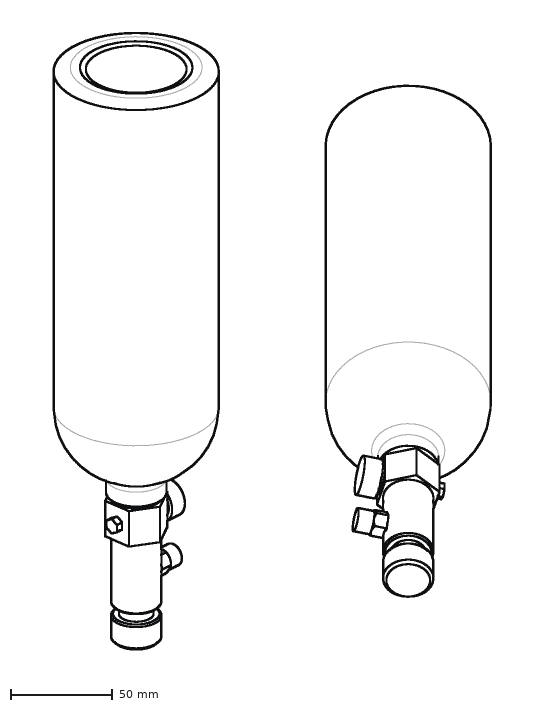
import cadquery as cq
import math

TOTAL_HEIGHT = 320.0
HEX_TOP = 80.0
HEX_HEIGHT = 20.0
HEX_BOTTOM = HEX_TOP - HEX_HEIGHT
HEX_MIDDLE = HEX_TOP - HEX_HEIGHT / 2

BOTTLE_RADIUS = 41.0
DOME_START = 130.0
DOME_ARC_RADIUS = 38.0
CROWN_RADIUS = 32.5
CROWN_DROP = 2.2
RECESS_TOP_RADIUS = 28.0
RECESS_FLOOR_RADIUS = 25.0
RECESS_DEPTH = 1.0
NECK_RADIUS = 15.0
NECK_FILLET = 5.0
NECK_CHAMFER = 2.2

HEX_ACROSS_FLATS = 28.0
STEM_RADIUS = 12.5
GROOVE_RADIUS = 8.5
GROOVE_BOTTOM = 14.5
GROOVE_TOP = 20.0
GROOVE_EDGE_CHAMFER = 1.0
COLLAR_END_CHAMFER = 1.5

GAUGE_RADIUS = 10.0
GAUGE_NECK_RADIUS = 7.7
GAUGE_NECK_LENGTH = 1.5
GAUGE_DISC_LENGTH = 9.3

PIN_ACROSS_FLATS = 7.0
PIN_LENGTH = 4.0

NUT_LEVEL = 37.0
NUT_ACROSS_FLATS = 12.0
NUT_INNER_FACE = 12.0
NUT_OUTER_FACE = 19.0
NUT_CHAMFER_HEIGHT = 1.0
CAP_LENGTH = 8.0


def across_corners(across_flats):
    return across_flats / math.cos(math.pi / 6)


def plane_facing_back(y, z):
    """Work plane at (0, y, z) whose normal points along +Y."""
    return cq.Plane(origin=(0, y, z), xDir=(1, 0, 0), normal=(0, 1, 0))


def nut_prism(start, end):
    """Hexagonal prism along Y with corners on its X sides, from one Y position to another."""
    return (
        cq.Workplane(plane_facing_back(start, NUT_LEVEL))
        .polygon(6, across_corners(NUT_ACROSS_FLATS))
        .extrude(end - start)
    )


def make_bottle():
    dome_centre_radius = BOTTLE_RADIUS - DOME_ARC_RADIUS
    centre_distance = DOME_ARC_RADIUS + NECK_FILLET
    touch_angle = math.acos((NECK_RADIUS + NECK_FILLET - dome_centre_radius) / centre_distance)
    fillet_level = DOME_START - centre_distance * math.sin(touch_angle)

    def dome_point(angle):
        return (
            dome_centre_radius + DOME_ARC_RADIUS * math.cos(angle),
            DOME_START - DOME_ARC_RADIUS * math.sin(angle),
        )

    crown_width = BOTTLE_RADIUS - CROWN_RADIUS
    crown_arc_radius = (crown_width**2 + CROWN_DROP**2) / (2 * CROWN_DROP)
    crown_half_angle = math.asin(crown_width / crown_arc_radius) / 2
    crown_middle = (
        CROWN_RADIUS + crown_arc_radius * math.sin(crown_half_angle),
        TOTAL_HEIGHT - crown_arc_radius * (1 - math.cos(crown_half_angle)),
    )

    return (
        cq.Workplane("XZ")
        .moveTo(0, HEX_TOP)
        .lineTo(NECK_RADIUS - NECK_CHAMFER, HEX_TOP)
        .lineTo(NECK_RADIUS, HEX_TOP + NECK_CHAMFER)
        .lineTo(NECK_RADIUS, fillet_level)
        .tangentArcPoint(dome_point(touch_angle), relative=False)
        .threePointArc(dome_point(touch_angle / 2), (BOTTLE_RADIUS, DOME_START))
        .lineTo(BOTTLE_RADIUS, TOTAL_HEIGHT - CROWN_DROP)
        .threePointArc(crown_middle, (CROWN_RADIUS, TOTAL_HEIGHT))
        .lineTo(RECESS_TOP_RADIUS, TOTAL_HEIGHT)
        .lineTo(RECESS_FLOOR_RADIUS, TOTAL_HEIGHT - RECESS_DEPTH)
        .lineTo(0, TOTAL_HEIGHT - RECESS_DEPTH)
        .close()
        .revolve(360, (0, 0, 0), (0, 1, 0))
    )


def make_valve():
    hexagon = (
        cq.Workplane("XY", origin=(0, 0, HEX_BOTTOM))
        .polygon(6, across_corners(HEX_ACROSS_FLATS))
        .extrude(HEX_HEIGHT)
    )
    stem = (
        cq.Workplane("XY", origin=(0, 0, GROOVE_TOP))
        .circle(STEM_RADIUS)
        .extrude(HEX_BOTTOM - GROOVE_TOP)
        .faces("<Z")
        .chamfer(GROOVE_EDGE_CHAMFER)
    )
    groove_core = (
        cq.Workplane("XY", origin=(0, 0, GROOVE_BOTTOM))
        .circle(GROOVE_RADIUS)
        .extrude(GROOVE_TOP - GROOVE_BOTTOM)
    )
    collar = (
        cq.Workplane("XY")
        .circle(STEM_RADIUS)
        .extrude(GROOVE_BOTTOM)
        .faces(">Z")
        .chamfer(GROOVE_EDGE_CHAMFER)
        .faces("<Z")
        .chamfer(COLLAR_END_CHAMFER)
    )
    nut_seat = nut_prism(NUT_INNER_FACE, STEM_RADIUS)
    return hexagon.union(stem).union(groove_core).union(collar).cut(nut_seat)


def make_gauge():
    return (
        cq.Workplane(plane_facing_back(HEX_ACROSS_FLATS / 2, HEX_MIDDLE))
        .circle(GAUGE_NECK_RADIUS)
        .extrude(GAUGE_NECK_LENGTH)
        .faces(">Y")
        .workplane()
        .circle(GAUGE_RADIUS)
        .extrude(GAUGE_DISC_LENGTH)
    )


def make_pin():
    """Hexagonal pin with its corners pointing up and down."""
    return (
        cq.Workplane(plane_facing_back(-HEX_ACROSS_FLATS / 2 - PIN_LENGTH, HEX_MIDDLE))
        .transformed(rotate=(0, 0, 90))
        .polygon(6, across_corners(PIN_ACROSS_FLATS))
        .extrude(PIN_LENGTH)
    )


def make_nut():
    """Nut seated in the stem, with its outer corners cut back by a chamfer cone."""
    corner_height = (across_corners(NUT_ACROSS_FLATS) - NUT_ACROSS_FLATS) / 2
    cone_slope = corner_height / NUT_CHAMFER_HEIGHT
    nut_length = NUT_OUTER_FACE - NUT_INNER_FACE
    chamfer_cone = (
        cq.Workplane("XY", origin=(0, 0, NUT_LEVEL))
        .moveTo(0, NUT_INNER_FACE)
        .lineTo(NUT_ACROSS_FLATS / 2 + cone_slope * nut_length, NUT_INNER_FACE)
        .lineTo(NUT_ACROSS_FLATS / 2, NUT_OUTER_FACE)
        .lineTo(0, NUT_OUTER_FACE)
        .close()
        .revolve(360, (0, 0, 0), (0, 1, 0))
    )
    return nut_prism(NUT_INNER_FACE, NUT_OUTER_FACE).intersect(chamfer_cone)


def make_cap():
    return (
        cq.Workplane(plane_facing_back(NUT_OUTER_FACE, NUT_LEVEL))
        .circle(NUT_ACROSS_FLATS / 2)
        .extrude(CAP_LENGTH)
    )


bottle = make_bottle()
valve = make_valve()
gauge = make_gauge()
pin = make_pin()
nut = make_nut()
cap = make_cap()

result = cq.Compound.makeCompound(
    [bottle.val(), valve.val(), gauge.val(), pin.val(), nut.val(), cap.val()]
)